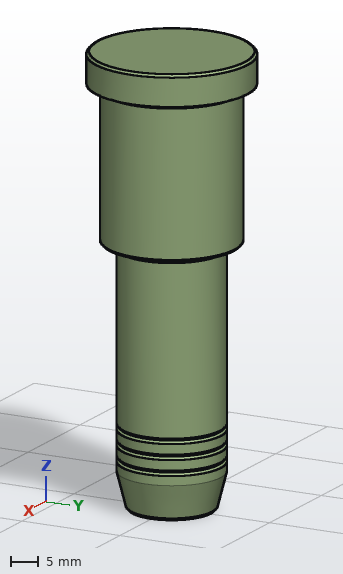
import cadquery as cq

total_height = 86.0
head_radius = 15.5
head_height = 6.0
head_chamfer = 0.5

shoulder_radius = 13.0
shoulder_bottom = 50.05
shoulder_chamfer = 0.4
shoulder_relief_radius = 12.55
shoulder_relief_height = 0.6

shank_diameter = 20.0
shank_radius = shank_diameter / 2
neck_radius = 9.55
neck_height = 1.0

groove_depth = 0.5
groove_half_width = 0.5
lowest_groove_center = 9.5
groove_pitch = 3.0
groove_count = 3

tip_height = 7.1
tip_radius = 8.3
tip_chamfer = 0.5

head_bottom = total_height - head_height
shoulder_top = head_bottom - shoulder_relief_height
shank_top = shoulder_bottom - neck_height


def make_pin():
    """Revolve the half section, including the conical lead-in tip."""
    profile = (
        cq.Workplane("XZ")
        .lineTo(tip_radius - tip_chamfer, 0)
        .lineTo(tip_radius, tip_chamfer)
        .lineTo(shank_radius, tip_height)
        .lineTo(shank_radius, shank_top)
        .lineTo(neck_radius, shank_top)
        .lineTo(neck_radius, shoulder_bottom)
        .lineTo(shoulder_radius - shoulder_chamfer, shoulder_bottom)
        .lineTo(shoulder_radius, shoulder_bottom + shoulder_chamfer)
        .lineTo(shoulder_radius, shoulder_top - shoulder_chamfer)
        .lineTo(shoulder_relief_radius, shoulder_top)
        .lineTo(shoulder_relief_radius, head_bottom)
        .lineTo(head_radius, head_bottom)
        .lineTo(head_radius, total_height - head_chamfer)
        .lineTo(head_radius - head_chamfer, total_height)
        .lineTo(0, total_height)
        .close()
    )
    return profile.revolve(360, (0, 0), (0, 1))


def make_groove(center_height):
    """Ring-shaped cutter for a V groove around the shank."""
    clearance = 0.9
    flank_scale = 1 + clearance / groove_depth
    outer_radius = shank_radius + clearance
    outer_half_width = groove_half_width * flank_scale
    return (
        cq.Workplane("XZ")
        .moveTo(shank_radius - groove_depth, center_height)
        .lineTo(outer_radius, center_height - outer_half_width)
        .lineTo(outer_radius, center_height + outer_half_width)
        .close()
        .revolve(360, (0, 0), (0, 1))
    )


result = make_pin()
for index in range(groove_count):
    result = result.cut(make_groove(lowest_groove_center + index * groove_pitch))